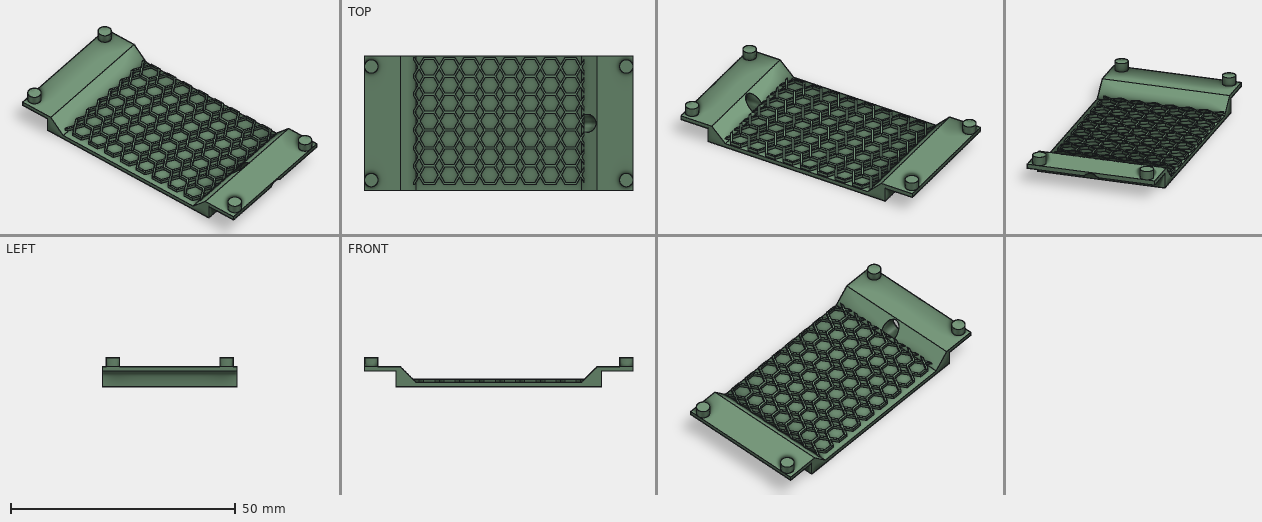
import cadquery as cq

length = 59.81
width = 30.0
height = 6.5

floor_thickness = 1.0
flange_thickness = 1.0
pin_height = 2.0
flange_top = height - pin_height
flange_bottom = flange_top - flange_thickness
flange_overhang = 7.0
flange_top_length = 8.0
body_half_length = length / 2 - flange_overhang
ramp_top_x = length / 2 - flange_top_length
floor_half_length = ramp_top_x - (flange_top - floor_thickness)

pin_diameter = 3.0
pin_x = length / 2 - pin_diameter / 2
pin_y = 12.65

ring_height = 0.7
ring_outer_diameter = 5.0
ring_inner_diameter = 4.0
ring_pitch_x = 4.5
ring_pitch_y = 4.0
ring_columns = 10
ring_rows = 7
first_ring_x = -20.0
first_ring_y = -11.5
grid_half_length = 19.0

port_diameter = 4.0
port_axis_z = flange_top / 2
port_start_x = grid_half_length


def make_tray():
    """Stepped tray profile extruded over the full width."""
    right_half = [
        (floor_half_length, floor_thickness),
        (ramp_top_x, flange_top),
        (length / 2, flange_top),
        (length / 2, flange_bottom),
        (body_half_length, flange_bottom),
        (body_half_length, 0),
    ]
    left_half = [(-x, z) for x, z in reversed(right_half)]
    return (
        cq.Workplane("XZ")
        .polyline(right_half + left_half)
        .close()
        .extrude(width / 2, both=True)
    )


def make_pins():
    """Four locating pins standing on the flanges."""
    return (
        cq.Workplane("XY", origin=(0, 0, flange_top))
        .rect(2 * pin_x, 2 * pin_y, forConstruction=True)
        .vertices()
        .circle(pin_diameter / 2)
        .extrude(pin_height)
    )


def make_hex_grid():
    """Hexagonal rings, open in the middle and trimmed square at both ramps."""
    centers = [
        (first_ring_x + column * ring_pitch_x, first_ring_y + row * ring_pitch_y)
        for column in range(ring_columns)
        for row in range(ring_rows)
    ]
    floor_plane = cq.Workplane("XY", origin=(0, 0, floor_thickness))
    outer = floor_plane.pushPoints(centers).polygon(6, ring_outer_diameter).extrude(ring_height)
    inner = floor_plane.pushPoints(centers).polygon(6, ring_inner_diameter).extrude(ring_height)
    trim_box = floor_plane.rect(2 * grid_half_length, width).extrude(ring_height)
    return outer.cut(inner).intersect(trim_box)


def make_port():
    """Round port along X, from the end of the ring grid out through the +X wall."""
    return (
        cq.Workplane("YZ", origin=(port_start_x, 0, port_axis_z))
        .circle(port_diameter / 2)
        .extrude(length / 2 - port_start_x)
    )


result = make_tray().union(make_hex_grid()).cut(make_port()).union(make_pins())